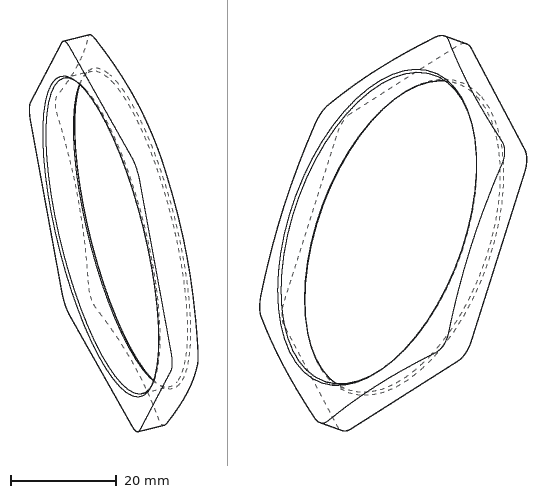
import cadquery as cq
import math

across_flats = 68.0
thickness = 6.5
across_corners = 77
bore_diameter = 61.5
bore_chamfer = 0.5
crown_diameter = across_flats
crown_angle = 15

sharp_corner_diameter = across_flats / math.cos(math.radians(30))
corner_cutback = (sharp_corner_diameter - across_corners) / 2
corner_radius = corner_cutback / (1 / math.cos(math.radians(30)) - 1)


def hexagon_body():
    """Hexagonal plate from Y = 0 to Y = thickness, with rounded corners."""
    return (
        cq.Workplane("XZ")
        .polygon(6, sharp_corner_diameter)
        .extrude(-thickness)
        .edges("|Y")
        .fillet(corner_radius)
    )


def crown_envelope():
    """Solid of revolution whose cone trims the hexagon corners on the +Y face."""
    crown_radius = crown_diameter / 2
    outer_radius = sharp_corner_diameter / 2
    drop = (outer_radius - crown_radius) * math.tan(math.radians(crown_angle))
    return (
        cq.Workplane("XY")
        .polyline([
            (0, 0),
            (outer_radius, 0),
            (outer_radius, thickness - drop),
            (crown_radius, thickness),
            (0, thickness),
        ])
        .close()
        .revolve(360, (0, 0), (0, 1))
    )


def bore_cutter():
    """Through bore with a chamfered mouth at both faces."""
    bore_radius = bore_diameter / 2
    mouth_radius = bore_radius + bore_chamfer
    return (
        cq.Workplane("XY")
        .polyline([
            (0, 0),
            (mouth_radius, 0),
            (bore_radius, bore_chamfer),
            (bore_radius, thickness - bore_chamfer),
            (mouth_radius, thickness),
            (0, thickness),
        ])
        .close()
        .revolve(360, (0, 0), (0, 1))
    )


result = hexagon_body().intersect(crown_envelope()).cut(bore_cutter())